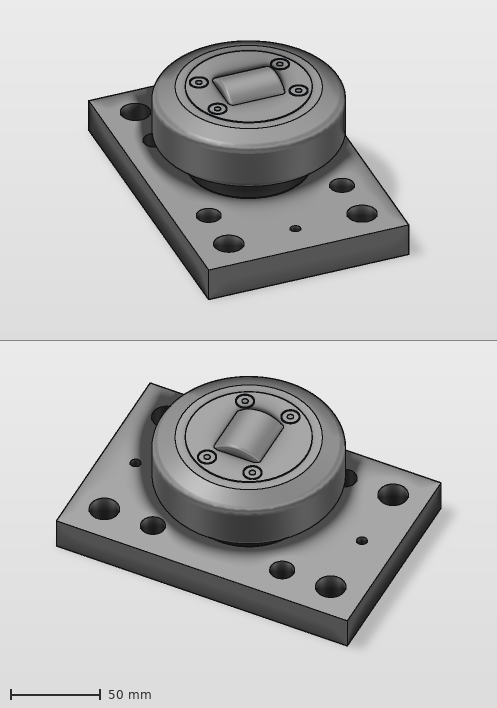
import cadquery as cq

plate_length = 180.0
plate_width = 120.0
plate_height = 20.0
corner_hole_diameter = 17.0
corner_hole_x = 70.0
bolt_hole_diameter = 13.9
hole_row_y = 40.0
bolt_hole_x = hole_row_y
pin_hole_diameter = 6.0

neck_diameter = 71.0
neck_end_diameter = 70.5
neck_end_height = 0.5
ring_radius = 54.0
ring_bottom = 39.5
ring_top = 71.1
ring_lower_fillet = 3.2
cone_outer_radius = 51.0
cone_outer_height = 67.3
cone_inner_radius = 41.0
ring_upper_fillet = 5.0

cap_diameter = neck_diameter
cap_chamfer = (neck_diameter - neck_end_diameter) / 2
cap_top = 71.6

screw_x = 14.0
screw_y = 24.3
screw_recess_diameter = 10.6
screw_head_diameter = 9.7
screw_recess_depth = 0.5
screw_socket_diameter = 3.6
screw_socket_depth = 0.4

roller_top = 77.5
roller_width = 29.2
roller_length = 34.0
roller_radius = 20.3
roller_end_fillet = 2.5


def make_plate():
    plate = cq.Workplane("XY").box(plate_length, plate_width, plate_height, centered=(True, True, False))
    hole_groups = [
        (corner_hole_diameter, corner_hole_x, (-hole_row_y, hole_row_y)),
        (bolt_hole_diameter, bolt_hole_x, (-hole_row_y, hole_row_y)),
        (pin_hole_diameter, corner_hole_x, (0,)),
    ]
    for diameter, x, rows in hole_groups:
        centres = [(side * x, y) for side in (-1, 1) for y in rows]
        plate = plate.faces(">Z").workplane(origin=(0, 0, plate_height)).pushPoints(centres).hole(diameter)
    return plate


def make_ring():
    """Bearing ring with a conical shoulder and rounded outer edges."""
    shoulder_slope = (ring_top - cone_outer_height) / (cone_outer_radius - cone_inner_radius)
    cone_edge_height = cone_outer_height - shoulder_slope * (ring_radius - cone_outer_radius)
    profile = [
        (0, ring_bottom),
        (ring_radius, ring_bottom),
        (ring_radius, cone_edge_height),
        (cone_inner_radius, ring_top),
        (0, ring_top),
    ]
    ring = cq.Workplane("XZ").polyline(profile).close().revolve(360, (0, 0, 0), (0, 1, 0))
    ring = ring.faces("<Z").edges().fillet(ring_lower_fillet)
    side_middle = (ring_radius, 0, (ring_bottom + cone_edge_height) / 2)
    side_face = ring.faces(cq.selectors.NearestToPointSelector(side_middle))
    return side_face.edges("%CIRCLE").edges(">Z").fillet(ring_upper_fillet)


def make_cylinder(diameter, bottom, top):
    return cq.Workplane("XY").workplane(offset=bottom).circle(diameter / 2).extrude(top - bottom)


def make_roller():
    """Roller along Y, trimmed to the cap opening, with rounded ends."""
    axis_height = roller_top - roller_radius
    roller = (
        cq.Workplane("XZ", origin=(0, 0, axis_height))
        .circle(roller_radius)
        .extrude(roller_length / 2, both=True)
        .edges("%CIRCLE")
        .fillet(roller_end_fillet)
    )
    opening = cq.Workplane("XY", origin=(0, 0, axis_height)).box(
        roller_width, roller_length, roller_radius, centered=(True, True, False)
    )
    return roller.intersect(opening)


def cut_screws(body):
    """Narrow ring gap around each screw head, with a socket in its centre."""
    centres = [(x, y) for x in (-screw_x, screw_x) for y in (-screw_y, screw_y)]
    cap_face = cq.Workplane("XY", origin=(0, 0, cap_top)).pushPoints(centres)
    gaps = (
        cap_face.circle(screw_recess_diameter / 2)
        .circle(screw_head_diameter / 2)
        .extrude(-screw_recess_depth)
    )
    sockets = cap_face.circle(screw_socket_diameter / 2).extrude(-screw_socket_depth)
    return body.cut(gaps).cut(sockets)


def make_neck():
    """Neck with a slightly reduced diameter against the plate and the ring."""
    core = make_cylinder(neck_end_diameter, plate_height, ring_bottom)
    sleeve = make_cylinder(neck_diameter, plate_height + neck_end_height, ring_bottom - neck_end_height)
    return core.union(sleeve)


cap = make_cylinder(cap_diameter, ring_top, cap_top).faces(">Z").chamfer(cap_chamfer)
body = make_plate().union(make_neck()).union(make_ring()).union(cap)
result = cut_screws(body).union(make_roller())